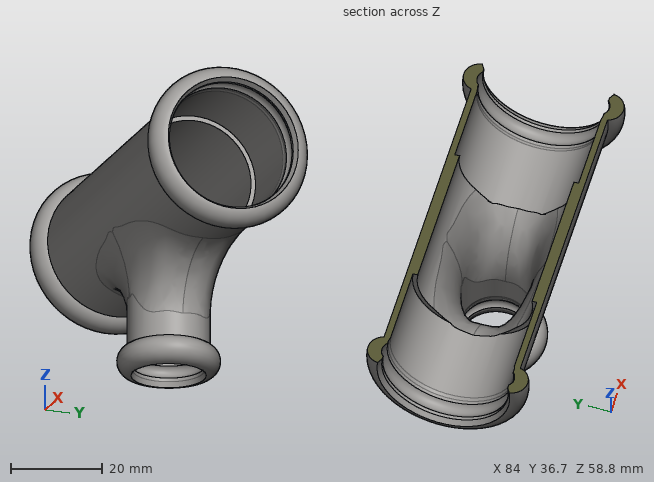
import cadquery as cq
import math


run_length = 84.0
run_radius = 31.4 / 2
run_socket_radius = 28.4 / 2
run_lip_radius = 28.8 / 2
run_mouth_radius = 15.1
run_bead_radius = 36.7 / 2
run_bead_width = 7.3
stop_bore_radius = 26.3 / 2
stop_length = 33.6

total_height = 58.8
branch_depth = total_height - run_bead_radius
branch_radius = 18.3 / 2
branch_bore_radius = 15.3 / 2
branch_lip_radius = 15.7 / 2
branch_mouth_radius = 8.2
branch_bead_radius = 22.8 / 2
branch_bead_width = 6.55

mouth_depth = 1.3
lip_length = 0.8
lip_taper = 0.8
groove_depth = 0.75

blend_end_radius = 14.3
blend_side_radius = 31.9
bore_blend_growth = 1.7
blend_core_radius = 4.2
blend_sections = 13
seat_overlap = 0.04


def revolve_about_x(profile):
    return profile.close().revolve(360, (0, 0, 0), (1, 0, 0))


def end_body(mouth_radius, bead_radius, bead_width):
    """Rounded bead whose end face is at x = 0 and which extends toward +X."""
    profile = (
        cq.Workplane("XY")
        .lineTo(0, mouth_radius)
        .threePointArc((bead_width / 2, bead_radius), (bead_width, mouth_radius))
        .lineTo(bead_width, 0)
    )
    return revolve_about_x(profile)


def end_cavity(mouth_radius, lip_radius, socket_radius, bead_width):
    """Lead-in, lip bore and seal groove of an end whose face is at x = 0."""
    groove_start = mouth_depth + lip_length
    groove_end = bead_width - lip_taper - lip_length
    groove_middle = (groove_start + groove_end) / 2
    profile = (
        cq.Workplane("XY")
        .lineTo(0, mouth_radius)
        .lineTo(mouth_depth, lip_radius)
        .lineTo(groove_start, lip_radius)
        .threePointArc((groove_middle, lip_radius + groove_depth), (groove_end, lip_radius))
        .lineTo(bead_width - lip_taper, lip_radius)
        .lineTo(bead_width, socket_radius)
        .lineTo(bead_width, 0)
    )
    return revolve_about_x(profile)


def at_run_ends(body):
    left = body.translate((-run_length / 2, 0, 0))
    return left.union(left.mirror("YZ"))


def at_branch_end(body):
    return body.rotate((0, 0, 0), (0, 1, 0), -90).translate((0, 0, -branch_depth))


def run_cylinder(radius, length):
    return cq.Workplane("YZ").circle(radius).extrude(length / 2, both=True)


def branch_cylinder(radius, depth):
    return cq.Workplane("XY").circle(radius).extrude(-depth)


def blend_section(angle, run_r, branch_r, end_radius, side_radius):
    """Section of the blend: a ball resting on both cylinders gives its arc."""
    ball = end_radius + (side_radius - end_radius) * math.sin(angle) ** 3
    across = cq.Vector(math.cos(angle), math.sin(angle), 0)
    center_y = (branch_r + ball) * across.y
    center_z = -math.sqrt((run_r + ball) ** 2 - center_y**2)
    center = across * (branch_r + ball) + cq.Vector(0, 0, center_z)

    arc_radius = ball + seat_overlap
    to_run = cq.Vector(0, -center.y, -center.z).normalized()
    to_branch = across * -1
    on_run = center + to_run * arc_radius
    on_branch = center + to_branch * arc_radius
    middle = center + (to_run + to_branch).normalized() * arc_radius
    core_top = across * blend_core_radius
    core_bottom = core_top + cq.Vector(0, 0, center_z)
    return cq.Wire.assembleEdges([
        cq.Edge.makeLine(core_top, on_run),
        cq.Edge.makeThreePointArc(on_run, middle, on_branch),
        cq.Edge.makeLine(on_branch, core_bottom),
        cq.Edge.makeLine(core_bottom, core_top),
    ])


def blend(run_r, branch_r, end_radius, side_radius):
    angles = [math.pi / 2 * i / (blend_sections - 1) for i in range(blend_sections)]
    sections = [blend_section(a, run_r, branch_r, end_radius, side_radius) for a in angles]
    quarter = cq.Workplane(obj=cq.Solid.makeLoft(sections))
    half = quarter.union(quarter.mirror("YZ"))
    return half.union(half.mirror("XZ"))


run_bead = end_body(run_mouth_radius, run_bead_radius, run_bead_width)
branch_bead = end_body(branch_mouth_radius, branch_bead_radius, branch_bead_width)
outside = (
    run_cylinder(run_radius, run_length - run_bead_width)
    .union(branch_cylinder(branch_radius, branch_depth - branch_bead_width / 2))
    .union(blend(run_radius, branch_radius, blend_end_radius, blend_side_radius))
    .union(at_run_ends(run_bead))
    .union(at_branch_end(branch_bead))
)

run_cavity = end_cavity(run_mouth_radius, run_lip_radius, run_socket_radius, run_bead_width)
branch_cavity = end_cavity(
    branch_mouth_radius, branch_lip_radius, branch_bore_radius, branch_bead_width
)
bore_blend = blend(
    stop_bore_radius,
    branch_bore_radius,
    blend_end_radius + bore_blend_growth,
    blend_side_radius + bore_blend_growth,
)
run_sockets = run_cylinder(run_socket_radius, run_length).cut(
    run_cylinder(run_socket_radius, stop_length)
)
inside = (
    run_cylinder(stop_bore_radius, run_length)
    .union(branch_cylinder(branch_bore_radius, branch_depth))
    .union(bore_blend)
    .union(run_sockets)
    .union(at_run_ends(run_cavity))
    .union(at_branch_end(branch_cavity))
)

result = outside.cut(inside)